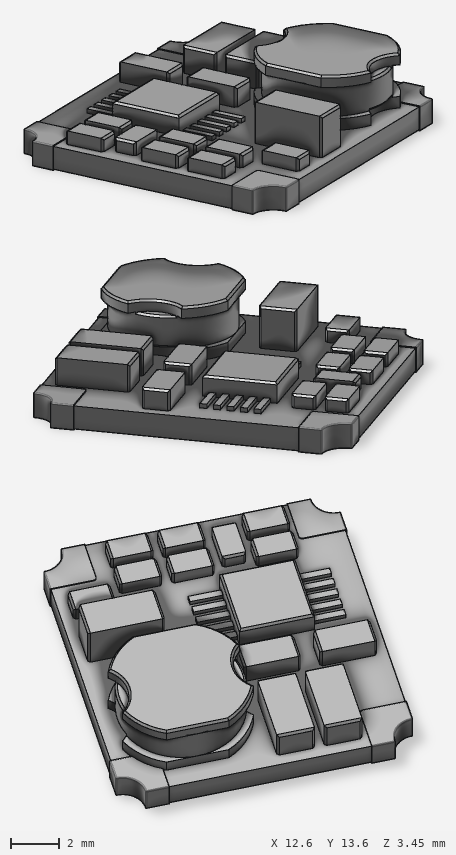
import cadquery as cq

board_x = 12.5
board_y = 13.5
board_z = 1.0
total_z = 3.45
plating = 0.048
pad_length = 2.0
pad_corner_radius = 0.15
notch_radius = 0.95

bevel = 0.1
overlap = 0.01

capacitor_large = (1.6, 3.2, 1.2)
capacitor_medium = (2.41, 1.2, 0.9)
capacitor_tall = (3.25, 1.6, 1.82)
chip_small = (1.8, 1.0, 0.6)
chip_turned = (1.0, 1.8, 0.6)

component_groups = [
    (capacitor_large, "Y", [(-3.24, 4.65), (-1.22, 4.65)]),
    (capacitor_medium, "X", [(-4.57, 1.44), (-1.33, 1.44)]),
    (capacitor_tall, "X", [(4.16, -1.39)]),
    (chip_small, "X", [(4.87, -3.5)]),
    (chip_small, "X", [(x, y) for x in (-3.11, 0.46, 2.68) for y in (-4.35, -5.77)]),
    (chip_turned, "Y", [(-1.36, -5.05)]),
]

ic_x = -2.05
ic_y = -1.54
ic_side = 3.2
ic_height = 0.9
lead_count = 5
lead_row = 2.31
lead_pitch = lead_row / (lead_count - 1)
lead_width = 0.3
lead_height = 0.19
lead_span = 6.0

inductor_x = 2.84
inductor_y = 3.15
inductor_height = total_z - plating - board_z
core_diameter = 5.4
flange_radius = 3.0
flange_flats = core_diameter
flange_thickness = 0.5
flange_notch_radius = 1.5
flange_notch_offset = 3.75


def on_board(x, y, height):
    """Workplane at (x, y), at the given height above the board's top face."""
    return cq.Workplane("XY", origin=(x, y, board_z + height))


def notched_plate(size_x, size_y, bottom, height, radius):
    plate = cq.Workplane("XY", origin=(0, 0, bottom)).rect(size_x, size_y).extrude(height)
    notches = (
        cq.Workplane("XY", origin=(0, 0, bottom))
        .rect(board_x, board_y, forConstruction=True).vertices()
        .circle(radius).extrude(height)
    )
    return plate.cut(notches)


def corner_pads():
    outer_x = board_x + 2 * plating
    outer_y = board_y + 2 * plating
    outer_z = board_z + 2 * plating
    shell = notched_plate(outer_x, outer_y, -plating, outer_z, notch_radius).edges().fillet(plating)
    corners = (
        cq.Workplane("XY", origin=(0, 0, -plating))
        .rect(outer_x, outer_y, forConstruction=True).vertices()
        .rect(2 * pad_length, 2 * pad_length).extrude(outer_z)
        .edges("|Z").fillet(pad_corner_radius)
    )
    return shell.intersect(corners)


def component(size, end_axis, x, y):
    length_x, length_y, height = size
    body = on_board(x, y, 0).rect(length_x, length_y).extrude(height)
    body = body.faces("|" + end_axis).edges("|Z or >Z").chamfer(bevel)
    foot = on_board(x, y, -overlap).rect(length_x - 2 * bevel, length_y - 2 * bevel).extrude(2 * overlap)
    return body.union(foot)


def integrated_circuit():
    body = (
        on_board(ic_x, ic_y, -overlap).rect(ic_side, ic_side).extrude(ic_height + overlap)
        .faces(">Z").chamfer(bevel)
    )
    leads = (
        on_board(ic_x, ic_y, -overlap).rarray(0.14, lead_pitch, 1, lead_count)
        .rect(lead_span, lead_width).extrude(lead_height + overlap)
    )
    return body.union(leads)


def flange_notches(bottom, height):
    return (
        on_board(inductor_x, inductor_y, bottom)
        .rarray(2 * flange_notch_offset, 0.14, 2, 1).circle(flange_notch_radius).extrude(height)
    )


def flange(bottom, height):
    disc = on_board(inductor_x, inductor_y, bottom).circle(flange_radius).extrude(height)
    flats = on_board(inductor_x, inductor_y, bottom).rect(2 * flange_radius, flange_flats).extrude(height)
    return disc.intersect(flats).cut(flange_notches(bottom, height))


def inductor():
    upper = flange(inductor_height - flange_thickness, flange_thickness).faces(">Z").chamfer(bevel)
    lower = flange(-overlap, flange_thickness + overlap)
    core_height = inductor_height - 2 * flange_thickness
    core = on_board(inductor_x, inductor_y, flange_thickness).circle(core_diameter / 2).extrude(core_height)
    covered_core = core.cut(flange_notches(flange_thickness, core_height))
    bevelled_core = core.edges().chamfer(bevel).union(covered_core)
    return lower.union(bevelled_core).union(upper)


board = notched_plate(board_x, board_y, 0, board_z, notch_radius + plating)
result = board.union(corner_pads())
for size, end_axis, centres in component_groups:
    for x, y in centres:
        result = result.union(component(size, end_axis, x, y))
result = result.union(integrated_circuit()).union(inductor())